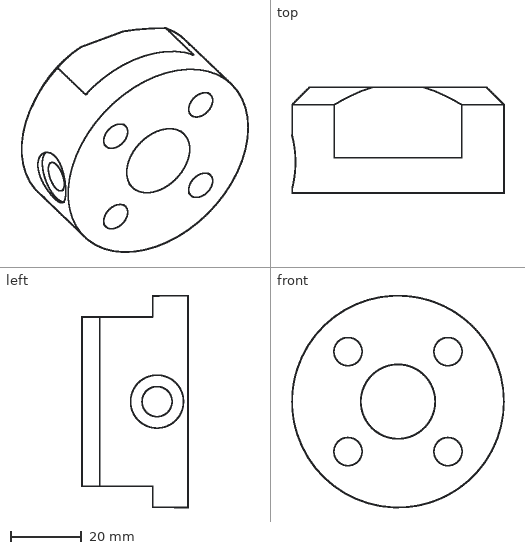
import cadquery as cq
import math

diameter = 60.0
length = 30.0
bore_diameter = 21.0
back_chamfer = 5.0

flat_distance = 48.0
flange_length = 10.0

bolt_circle_diameter = 40.0
bolt_hole_diameter = 8.0
bolt_hole_depth = 15.0
drill_tip_angle = 118.0

side_hole_y = 8.75
side_hole_diameter = 8.5
spotface_diameter = 15.0
spotface_depth = 1.5

radius = diameter / 2


def make_body():
    """Chamfered cylinder with a through bore."""
    front = cq.Workplane("XZ", origin=(0, length, 0))
    body = front.circle(radius).extrude(length).faces(">Y").chamfer(back_chamfer)
    bore = front.circle(bore_diameter / 2).extrude(length)
    return body.cut(bore)


def cut_flats(body):
    """Keep only the material between the flats behind the flange."""
    flat_length = length - flange_length
    flat_depth = radius - flat_distance / 2
    for side in (-1, 1):
        block = cq.Workplane("XY").box(diameter, flat_length, flat_depth)
        y_middle = flange_length + flat_length / 2
        z_middle = side * (radius - flat_depth / 2)
        body = body.cut(block.translate((0, y_middle, z_middle)))
    return body


def make_drilled_hole():
    """Blind hole along +Y from the origin, with a conical drill tip."""
    hole_radius = bolt_hole_diameter / 2
    tip_length = hole_radius / math.tan(math.radians(drill_tip_angle / 2))
    return (
        cq.Workplane("XY")
        .lineTo(hole_radius, 0)
        .lineTo(hole_radius, bolt_hole_depth)
        .lineTo(0, bolt_hole_depth + tip_length)
        .close()
        .revolve(360, (0, 0, 0), (0, 1, 0))
    )


def cut_bolt_holes(body):
    """Four holes on the diagonals of the bolt circle."""
    offset = bolt_circle_diameter / 2 * math.sin(math.radians(45))
    for x_side in (-1, 1):
        for z_side in (-1, 1):
            hole = make_drilled_hole().translate((x_side * offset, 0, z_side * offset))
            body = body.cut(hole)
    return body


def cut_side_hole(body):
    """Radial hole from the -X side into the bore, with its spotface."""
    side_plane = cq.Workplane("YZ", origin=(-radius, side_hole_y, 0))
    hole = side_plane.circle(side_hole_diameter / 2).extrude(radius)
    spotface = side_plane.circle(spotface_diameter / 2).extrude(spotface_depth)
    return body.cut(hole).cut(spotface)


result = cut_side_hole(cut_bolt_holes(cut_flats(make_body())))